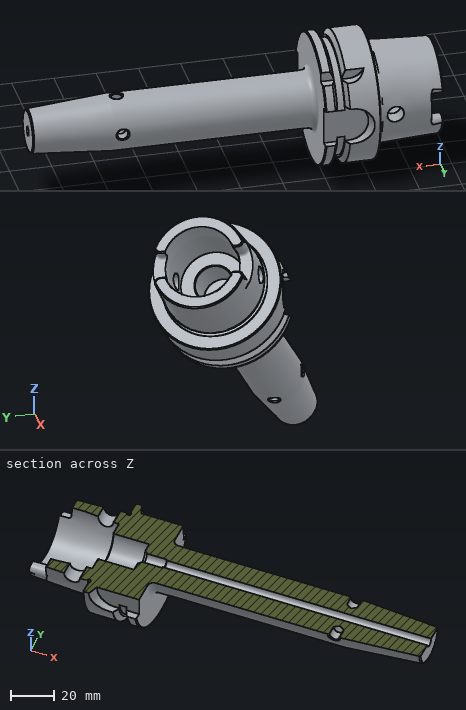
import cadquery as cq
import math


shank_length = 32.0
shank_radius = 24.22
taper_end_x = -2.5
taper_ratio = 1 / 20
shank_front_chamfer = 0.6
neck_shoulder_radius = 23.8
neck_start_x = -0.9
neck_radius = 23.2
face_recess_radius = 24.9
face_recess_depth = 0.4

flange_radius = 31.5
flange_length = 26.0
flange_chamfer = 0.5
groove_center_x = 17.9
groove_bottom_width = 3.6
groove_bottom_radius = 27.4
groove_side_radius = 28.5
groove_side_angle = 30.0

nose_length = 160.0
body_radius = 13.5
body_end_x = 122.0
root_fillet = 2.8
tip_radius = 10.6
tip_chamfer = 0.6

socket_radius = 17.2
socket_depth = 12.8
seat_radius = 15.6
seat_depth = 30.0
thread_bore_radius = 8.9
thread_bore_chamfer = 0.4
thread_bore_depth = 48.0
coolant_mouth_radius = 4.4
coolant_inlet_radius = 2.8
coolant_inlet_length = 10.0
coolant_radius = 2.2

drive_half_width = 6.0
drive_round = 2.8
drive_depth_front = 10.0
drive_depth_back = 6.0
drive_floor_fillet = 1.4
drive_flare_length = 6.0
bevel_angle = 45.0

keyway_half_width = 9.1
keyway_floor = 26.5
keyway_center_x = 14.0
keyway_end_lean = 21.0

notch_wall_y = 20.0
notch_floor_z = 19.8
notch_runout_radius = 8.0
notch_runout_x = 12.8

clamp_hole_radius = 3.95
clamp_hole_x = -8.7
screw_hole_x = 118.0
screw_hole_radius = 2.5
screw_hole_depth = 5.5
screw_hole_chamfer = 0.7
screw_hole_count = 4
drill_point_angle = 118.0

clearance = 10.0
tolerance = 0.1


def revolve_about_x(sketch):
    return sketch.close().revolve(360, (0, 0, 0), (1, 0, 0))


def shank_radius_at(depth):
    """Taper radius at a distance from the shank mouth."""
    return shank_radius - (shank_length + taper_end_x - depth) * taper_ratio


def holder_blank():
    """Outer shape: shank, flange with groove, and nose."""
    groove_half = groove_bottom_width / 2
    groove_slope_run = (flange_radius - groove_side_radius) * math.tan(math.radians(groove_side_angle))
    groove_left = groove_center_x - groove_half
    groove_right = groove_center_x + groove_half
    outline = (
        cq.Workplane("XY")
        .moveTo(-shank_length, 0)
        .lineTo(-shank_length, shank_radius_at(0) - shank_front_chamfer)
        .lineTo(shank_front_chamfer - shank_length, shank_radius_at(shank_front_chamfer))
        .lineTo(taper_end_x, shank_radius)
        .lineTo(neck_start_x, neck_shoulder_radius)
        .lineTo(neck_start_x, neck_radius)
        .lineTo(face_recess_depth, neck_radius)
        .lineTo(face_recess_depth, face_recess_radius)
        .lineTo(0, face_recess_radius)
        .lineTo(0, flange_radius - flange_chamfer)
        .lineTo(flange_chamfer, flange_radius)
        .lineTo(groove_left - groove_slope_run, flange_radius)
        .lineTo(groove_left, groove_side_radius)
        .lineTo(groove_left, groove_bottom_radius)
        .lineTo(groove_right, groove_bottom_radius)
        .lineTo(groove_right, groove_side_radius)
        .lineTo(groove_right + groove_slope_run, flange_radius)
        .lineTo(flange_length - flange_chamfer, flange_radius)
        .lineTo(flange_length, flange_radius - flange_chamfer)
        .lineTo(flange_length, body_radius + root_fillet)
        .radiusArc((flange_length + root_fillet, body_radius), -root_fillet)
        .lineTo(body_end_x, body_radius)
        .lineTo(nose_length - tip_chamfer, tip_radius)
        .lineTo(nose_length, tip_radius - tip_chamfer)
        .lineTo(nose_length, 0)
    )
    return revolve_about_x(outline)


def internal_bores():
    """Shank socket, coolant tube bore and the coolant channel through the nose."""
    mouth_x = -shank_length
    thread_floor_x = mouth_x + thread_bore_depth
    coolant_cone_end_x = thread_floor_x + coolant_mouth_radius - coolant_inlet_radius
    outline = (
        cq.Workplane("XY")
        .moveTo(mouth_x, 0)
        .lineTo(mouth_x, socket_radius)
        .lineTo(mouth_x + socket_depth, socket_radius)
        .lineTo(mouth_x + seat_depth, seat_radius)
        .lineTo(mouth_x + seat_depth, thread_bore_radius + thread_bore_chamfer)
        .lineTo(mouth_x + seat_depth + thread_bore_chamfer, thread_bore_radius)
        .lineTo(thread_floor_x, thread_bore_radius)
        .lineTo(thread_floor_x, coolant_mouth_radius)
        .lineTo(coolant_cone_end_x, coolant_inlet_radius)
        .lineTo(coolant_cone_end_x + coolant_inlet_length, coolant_inlet_radius)
        .lineTo(coolant_cone_end_x + coolant_inlet_length, coolant_radius)
        .lineTo(nose_length, coolant_radius)
        .lineTo(nose_length, 0)
    )
    return revolve_about_x(outline)


def drive_slot_outline(start_x):
    """Section of a drive slot on the +Y side, in the plane X = start_x.

    Each wall rounds outwards and leaves along a tangent of the shank circle at the back slot's floor.
    """
    exit_radius = shank_radius_at(drive_depth_back)
    round_z = drive_half_width + drive_round
    round_y = math.sqrt((exit_radius - drive_round) ** 2 - round_z**2)
    exit_angle = math.atan2(round_z, round_y)
    middle_angle = (exit_angle - math.pi / 2) / 2

    def on_round(angle):
        return round_y + drive_round * math.cos(angle), round_z + drive_round * math.sin(angle)

    middle_y, middle_z = on_round(middle_angle)
    exit_y, exit_z = on_round(exit_angle)
    flare_y = exit_y - drive_flare_length * math.sin(exit_angle)
    flare_z = exit_z + drive_flare_length * math.cos(exit_angle)
    outer_y = shank_radius + clearance
    return (
        cq.Workplane("YZ", origin=(start_x, 0, 0))
        .moveTo(0, -drive_half_width)
        .lineTo(round_y, -drive_half_width)
        .threePointArc((middle_y, -middle_z), (exit_y, -exit_z))
        .lineTo(flare_y, -flare_z)
        .lineTo(outer_y, -flare_z)
        .lineTo(outer_y, flare_z)
        .lineTo(flare_y, flare_z)
        .lineTo(exit_y, exit_z)
        .threePointArc((middle_y, middle_z), (round_y, drive_half_width))
        .lineTo(0, drive_half_width)
        .close()
    )


def drive_slot(depth, side):
    """Slot open to the shank mouth, bevelled there; side is +1 for +Y and -1 for -Y."""
    floor_x = depth - shank_length
    slot = drive_slot_outline(-shank_length - clearance).extrude(clearance + depth)
    around_floor_walls = cq.selectors.BoxSelector(
        (floor_x - tolerance, tolerance, -shank_radius),
        (floor_x + tolerance, shank_radius, shank_radius),
    )
    slot = slot.edges(around_floor_walls).fillet(drive_floor_fillet)
    bevel = (
        drive_slot_outline(-shank_length)
        .offset2D(shank_front_chamfer, "intersection")
        .extrude(shank_front_chamfer, taper=bevel_angle)
    )
    slot = slot.union(bevel)
    if side < 0:
        slot = slot.mirror("XZ")
    return slot


def keyway(side):
    """Flat-floored flange keyway whose round end leans outwards to the shank; side is +1 (+Y) or -1."""
    depth = flange_radius + clearance - keyway_floor
    lean = depth * math.tan(math.radians(keyway_end_lean))
    floor_outline = (
        cq.Workplane("XZ", origin=(keyway_center_x, keyway_floor, 0))
        .moveTo(0, -keyway_half_width)
        .lineTo(flange_length, -keyway_half_width)
        .lineTo(flange_length, keyway_half_width)
        .lineTo(0, keyway_half_width)
        .threePointArc((-keyway_half_width, 0), (0, -keyway_half_width))
        .close()
    )
    floor_face = cq.Face.makeFromWires(floor_outline.val())
    cutter = cq.Workplane(cq.Solid.extrudeLinear(floor_face, cq.Vector(-lean, depth, 0)))
    if side < 0:
        cutter = cutter.mirror("XZ")
    return cutter


def index_notch():
    """Corner notch in the flange rim; its floor curves up to the rim on the shank side."""
    size = flange_radius
    run = cq.Workplane("XY").box(size, size, size, centered=False)
    run = run.translate((notch_runout_x, notch_wall_y, notch_floor_z))
    runout_axis = (notch_runout_x, notch_wall_y, notch_floor_z + notch_runout_radius)
    runout = cq.Workplane("XZ", origin=runout_axis).circle(notch_runout_radius).extrude(-size)
    return run.union(runout)


def clamp_hole():
    """Clamping access hole straight through both walls of the shank."""
    start = (clamp_hole_x, -shank_radius - clearance, 0)
    return cq.Workplane("XZ", origin=start).circle(clamp_hole_radius).extrude(-2 * (shank_radius + clearance))


def screw_hole(angle):
    """Blind radial hole in the nose, chamfered at the mouth, with a drill point."""
    mouth_radius = screw_hole_radius + screw_hole_chamfer
    point_length = screw_hole_radius / math.tan(math.radians(drill_point_angle / 2))
    floor_z = body_radius - screw_hole_depth
    hole = (
        cq.Workplane("XZ")
        .moveTo(0, floor_z - point_length)
        .lineTo(screw_hole_radius, floor_z)
        .lineTo(screw_hole_radius, body_radius - screw_hole_chamfer)
        .lineTo(mouth_radius, body_radius)
        .lineTo(mouth_radius, body_radius + clearance)
        .lineTo(0, body_radius + clearance)
        .close()
        .revolve(360, (0, 0, 0), (0, 1, 0))
    )
    return hole.translate((screw_hole_x, 0, 0)).rotate((0, 0, 0), (1, 0, 0), angle)


result = holder_blank().cut(internal_bores())
result = result.cut(drive_slot(drive_depth_front, -1)).cut(drive_slot(drive_depth_back, 1))
result = result.cut(keyway(-1)).cut(keyway(1))
result = result.cut(index_notch())
result = result.cut(clamp_hole())
for index in range(screw_hole_count):
    result = result.cut(screw_hole(index * 360 / screw_hole_count))